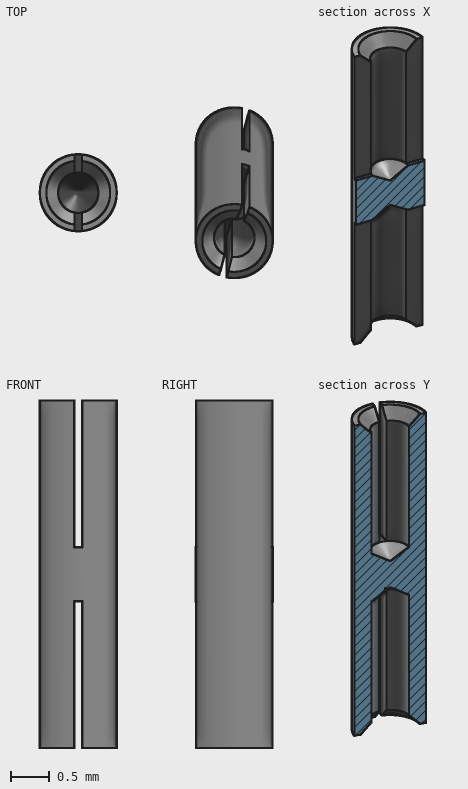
import cadquery as cq
import math

length = 4.5
outer_diameter = 1.0
outer_radius = outer_diameter / 2

bore_radius = 0.52 / 2
mouth_radius = 0.83 / 2
mouth_depth = 0.155
drill_point_angle = 118.0

slot_width = 0.1
slot_depth = 1.9

bore_depth = slot_depth
drill_tip_depth = bore_depth + bore_radius / math.tan(math.radians(drill_point_angle / 2))


def bore_cutter():
    """Solid of the bore, measured upward from the lower end face."""
    profile = (
        cq.Workplane("XZ")
        .lineTo(mouth_radius, 0)
        .lineTo(bore_radius, mouth_depth)
        .lineTo(bore_radius, bore_depth)
        .lineTo(0, drill_tip_depth)
        .close()
    )
    return profile.revolve(360, (0, 0, 0), (0, 1, 0))


def slot_cutter():
    """Solid of the slot, measured upward from the lower end face."""
    return cq.Workplane("XY").rect(slot_width, outer_diameter * 2).extrude(slot_depth)


result = cq.Workplane("XY").circle(outer_radius).extrude(length)

for cutter in (bore_cutter(), slot_cutter()):
    result = result.cut(cutter)
    result = result.cut(cutter.mirror("XY", (0, 0, length / 2)))